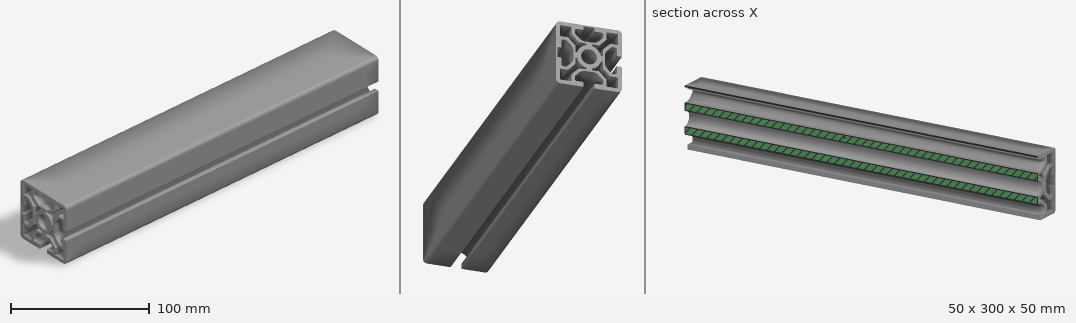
import cadquery as cq
import math

LENGTH = 300.0
SIDE = LENGTH / 6
HALF_SIDE = SIDE / 2
CORNER_RADIUS = 3.0

BORE_RADIUS = 6.0
TUBE_RADIUS = 9.3
TUBE_RIB_WIDTH = 4.2

SLOT_MOUTH_WIDTH = 8.0
SLOT_FLOOR = 12.0
SLOT_HALF_WIDTH = 10.8
SLOT_CORNER_RADIUS = 1.5
SLOT_KNEE_RADIUS = 7.0
LIP_THICKNESS = 4.0
SLOT_CEILING = HALF_SIDE - LIP_THICKNESS
COVER_THICKNESS = 1.0

WALL = 3.0
FLOOR_WEB = 1.5
SIDE_WEB = 2.5
DIAGONAL_WEB = 2.55
CHANNEL_OFFSET = 2.85
SLOT_OFFSET = CHANNEL_OFFSET + DIAGONAL_WEB * math.sqrt(2)

OPEN_SLOT_ANGLES = (-90, 0)
COVERED_SLOT_ANGLES = (90, 180)
CORNER_ANGLES = (0, 90, 180, 270)


def extrude_along_y(sketch):
    """Extrude a profile drawn on the XZ plane over the full length, centred on Y."""
    return sketch.extrude(LENGTH / 2, both=True)


def turn(solid, angle):
    """Turn a feature from the +X side; positive angles go towards +Z."""
    return solid.rotate((0, 0, 0), (0, -1, 0), angle)


def make_slot(mouth_end):
    """T-slot on the +X side whose mouth reaches out to mouth_end."""
    chamber = extrude_along_y(
        cq.Workplane("XZ").polyline([
            (SLOT_CEILING, -SLOT_HALF_WIDTH),
            (SLOT_CEILING, SLOT_HALF_WIDTH),
            (SLOT_HALF_WIDTH + SLOT_OFFSET, SLOT_HALF_WIDTH),
            (SLOT_FLOOR, SLOT_FLOOR - SLOT_OFFSET),
            (SLOT_FLOOR, SLOT_OFFSET - SLOT_FLOOR),
            (SLOT_HALF_WIDTH + SLOT_OFFSET, -SLOT_HALF_WIDTH),
        ]).close()
    )
    chamber = chamber.faces(">X").edges("|Y").fillet(SLOT_CORNER_RADIUS)
    chamber = chamber.faces("<X").edges("|Y").fillet(SLOT_KNEE_RADIUS)
    mouth_length = mouth_end - SLOT_FLOOR
    mouth = cq.Workplane("XY").box(mouth_length, LENGTH, SLOT_MOUTH_WIDTH)
    return chamber.union(mouth.translate((SLOT_FLOOR + mouth_length / 2, 0, 0)))


def make_corner_hollow():
    """Arrow-shaped hollow in the +X +Z corner, running in to the central tube."""
    inner = SLOT_FLOOR - FLOOR_WEB
    side = SLOT_HALF_WIDTH + SIDE_WEB
    outer = HALF_SIDE - WALL
    rib = TUBE_RIB_WIDTH / 2
    hollow = extrude_along_y(
        cq.Workplane("XZ").polyline([
            (rib, rib),
            (inner, rib),
            (inner, inner - CHANNEL_OFFSET),
            (side + CHANNEL_OFFSET, side),
            (outer, side),
            (outer, outer),
            (side, outer),
            (side, side + CHANNEL_OFFSET),
            (inner - CHANNEL_OFFSET, inner),
            (rib, inner),
        ]).close()
    )
    return hollow.cut(extrude_along_y(cq.Workplane("XZ").circle(TUBE_RADIUS)))


body = cq.Workplane("XY").box(SIDE, LENGTH, SIDE).edges("|Y").fillet(CORNER_RADIUS)
body = body.cut(extrude_along_y(cq.Workplane("XZ").circle(BORE_RADIUS)))

open_slot = make_slot(HALF_SIDE)
for angle in OPEN_SLOT_ANGLES:
    body = body.cut(turn(open_slot, angle))

covered_slot = make_slot(HALF_SIDE - COVER_THICKNESS)
for angle in COVERED_SLOT_ANGLES:
    body = body.cut(turn(covered_slot, angle))

corner_hollow = make_corner_hollow()
for angle in CORNER_ANGLES:
    body = body.cut(turn(corner_hollow, angle))

result = body